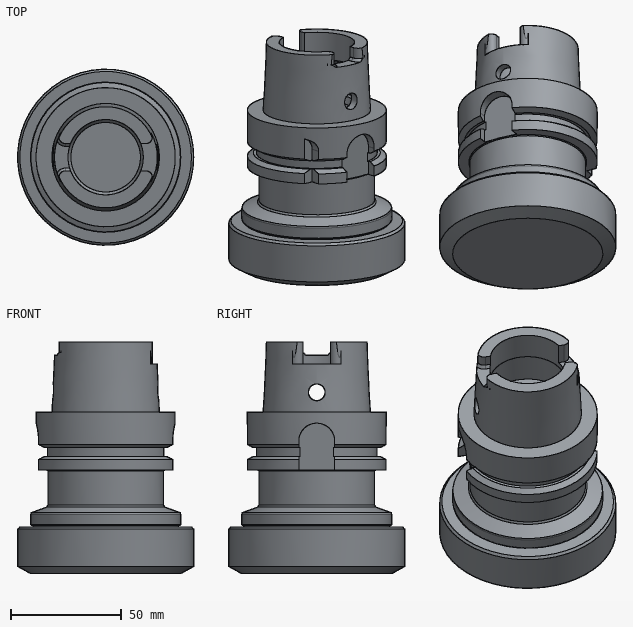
import cadquery as cq
import math

total_height = 104.9

base_radius = 39.9
base_bottom_radius = 34.0
base_bottom_chamfer_height = 3.3
base_top = 21.2
base_top_chamfer = 1.0

collar_radius = base_bottom_radius
collar_neck_radius = 33.0
collar_bottom = 21.7
collar_bottom_chamfer = 0.4
collar_top = 26.9
collar_cone_radius = 33.8
collar_cone_bottom = 27.6
collar_cone_top = 30.1

shank_radius = 26.2
shank_foot_step = 0.6
shank_foot_top = 31.0
shank_relief_height = 0.4

flange_radius = 31.5
flange_bottom = 46.9
flange_top = 73.1
groove_radius = 27.4
groove_lip_radius = 28.7
groove_chamfer_height = 1.5
groove_bottom = 53.1
groove_top = 57.0

taper_base_radius = 24.3
taper_tip_radius = 22.9

bore_radius = 34.1 / 2
undercut_radius = 40.1 / 2
undercut_top = 90.7
bore_lip_height = 1.6
undercut_bottom = 76.6
bore_floor_radius = 15.7
bore_floor = 73.4

cross_hole_diameter = 7.5
cross_hole_height = 82.0

drive_slot_width = 16.3
drive_slot_floor = 26.3
drive_slot_top = 68.1

notch_corner = 19.8
notch_radius = 5.7
notch_arc_height = 62.2

keyway_half_width = 6.2
keyway_corner_radius = 2.8
keyway_shoulder = 21.1
keyway_nose_overrun = 45.0
keyway_chamfer = 1.3
deep_keyway_floor = 94.9
shallow_keyway_floor = 98.8

clearance = 5.2


def turned_body():
    """Outer profile revolved about Z."""
    outline = [
        (0, 0),
        (base_bottom_radius, 0),
        (base_radius, base_bottom_chamfer_height),
        (base_radius, base_top - base_top_chamfer),
        (base_radius - base_top_chamfer, base_top),
        (collar_neck_radius, base_top),
        (collar_neck_radius, collar_bottom),
        (collar_radius - collar_bottom_chamfer, collar_bottom),
        (collar_radius, collar_bottom + collar_bottom_chamfer),
        (collar_radius, collar_top),
        (collar_cone_radius, collar_cone_bottom),
        (shank_radius + shank_foot_step, collar_cone_top),
        (shank_radius, shank_foot_top),
        (shank_radius, flange_bottom - shank_relief_height),
        (shank_radius + shank_relief_height, flange_bottom),
        (flange_radius, flange_bottom),
        (flange_radius, groove_bottom - groove_chamfer_height),
        (groove_lip_radius, groove_bottom),
        (groove_radius, groove_bottom),
        (groove_radius, groove_top),
        (groove_lip_radius, groove_top),
        (flange_radius, groove_top + groove_chamfer_height),
        (flange_radius, flange_top),
        (taper_base_radius, flange_top),
        (taper_tip_radius, total_height),
        (0, total_height),
    ]
    return cq.Workplane("XZ").polyline(outline).close().revolve(360, (0, 0), (0, 1))


def bore():
    """Mouth, undercut and coned floor of the central bore."""
    outline = [
        (0, bore_floor),
        (bore_floor_radius, bore_floor),
        (bore_radius, undercut_bottom),
        (undercut_radius, undercut_bottom),
        (undercut_radius, undercut_top),
        (bore_radius, undercut_top + bore_lip_height),
        (bore_radius, total_height),
        (0, total_height),
    ]
    return cq.Workplane("XZ").polyline(outline).close().revolve(360, (0, 0), (0, 1))


def cross_hole():
    """Radial hole through both sides of the taper wall."""
    return (
        cq.Workplane("YZ")
        .center(0, cross_hole_height)
        .circle(cross_hole_diameter / 2)
        .extrude(flange_radius, both=True)
    )


def drive_slot():
    """Round-topped slot on the -X side, open towards the bottom of the flange."""
    half_width = drive_slot_width / 2
    arc_height = drive_slot_top - half_width
    return (
        cq.Workplane("YZ", origin=(-drive_slot_floor, 0, 0))
        .moveTo(-half_width, flange_bottom)
        .lineTo(half_width, flange_bottom)
        .lineTo(half_width, arc_height)
        .threePointArc((0, drive_slot_top), (-half_width, arc_height))
        .close()
        .extrude(-clearance)
    )


def orientation_notch():
    """Round-topped corner cut whose two walls face -X and +Y."""
    notch_reach = notch_corner + 2 * notch_radius
    notch_middle = notch_corner + notch_radius
    return (
        cq.Workplane("YZ", origin=(-notch_corner, 0, 0))
        .moveTo(notch_corner, flange_bottom)
        .lineTo(notch_reach, flange_bottom)
        .lineTo(notch_reach, notch_arc_height)
        .threePointArc((notch_middle, notch_arc_height + notch_radius), (notch_corner, notch_arc_height))
        .close()
        .extrude(notch_corner - flange_radius)
    )


def keyway(floor):
    """Keyway on the -X side of the rim, flaring outwards with rounded mouth corners."""
    arc_start = keyway_shoulder - keyway_corner_radius
    shoulder_half_width = keyway_half_width + keyway_corner_radius
    overrun = math.radians(keyway_nose_overrun)
    nose_end_x = arc_start + keyway_corner_radius * math.cos(overrun)
    nose_end_y = shoulder_half_width + keyway_corner_radius * math.sin(overrun)
    nose_mid_angle = (overrun - math.pi / 2) / 2
    nose_mid_x = arc_start + keyway_corner_radius * math.cos(nose_mid_angle)
    nose_mid_y = shoulder_half_width + keyway_corner_radius * math.sin(nose_mid_angle)
    outer_reach = taper_base_radius + clearance
    return (
        cq.Workplane("XY", origin=(0, 0, floor))
        .moveTo(0, -keyway_half_width)
        .lineTo(-arc_start, -keyway_half_width)
        .threePointArc((-nose_mid_x, -nose_mid_y), (-nose_end_x, -nose_end_y))
        .lineTo(-outer_reach, -nose_end_y)
        .lineTo(-outer_reach, nose_end_y)
        .lineTo(-nose_end_x, nose_end_y)
        .threePointArc((-nose_mid_x, nose_mid_y), (-arc_start, keyway_half_width))
        .lineTo(0, keyway_half_width)
        .close()
        .extrude(total_height + clearance - floor)
    )


def opposite(cutter):
    """The same cutter turned to the +X side."""
    return cutter.rotate((0, 0, 0), (0, 0, 1), 180)


shallow_keyway = keyway(shallow_keyway_floor).faces("<Z").edges().chamfer(keyway_chamfer)
deep_keyway = opposite(keyway(deep_keyway_floor))

result = (
    turned_body()
    .cut(bore())
    .cut(cross_hole())
    .cut(drive_slot())
    .cut(opposite(drive_slot()))
    .cut(orientation_notch())
    .cut(shallow_keyway)
    .cut(deep_keyway)
)